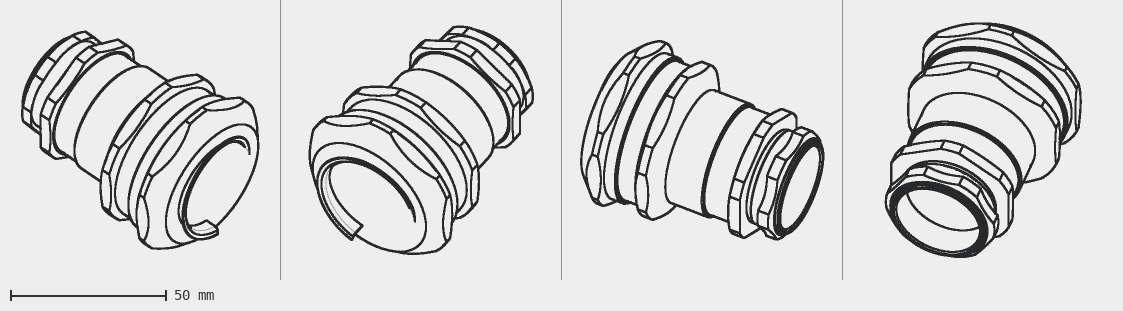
import cadquery as cq
import math


spigot_dia = 32.0
spigot_chamfer = 0.5
bore_dia = 28.5
bore_depth = 10.4
bore_chamfer = 0.6

groove_start = 10.1
groove_depth = 0.6
seal_section_dia = 1.7

locknut_flats = 35.0
locknut_dia = 37.0
locknut_start = 1.4
locknut_front_dia = 33.1
locknut_rim_start = 2.55
locknut_end = 6.35
locknut_dish_angle = 40.0
locknut_turn = 31.4

entry_hex_flats = 40.0
entry_hex_dia = 43.0
entry_hex_start = 11.95
entry_hex_rim_end = 15.7
entry_hex_end = 16.5
entry_hex_end_dia = 38.2

neck_dia = 37.0
barrel_dia = 38.8
barrel_start = 25.5
barrel_chamfer = 0.5
barrel_end = 39.1

cone_angle = 30.0
middle_hex_flats = 50.0
middle_hex_dia = 53.0
middle_hex_end = 47.65
collar_dia = 47.8
ring_dia = 50.0
ring_start = 54.0
ring_chamfer = 0.4

cap_flats = 52.0
cap_dia = 56.0
cap_start = 58.3
cap_rim_end = 62.1
cap_end = 68.0

overall_length = 73.44
ferrule_dia = 32.0
ferrule_wall = 0.5
lip_dia = 35.8
lip_edge_dia = 35.5
lip_edge = 0.4
flare_length = 1.65
flare_radius = 0.9
flare_angle = 65.0
ferrule_depth = 6.0
helix_pitch = 7.5
helix_sweep = 270.0
helix_end_turn = -10.2


def turned(points):
    """Solid of revolution about X from (x, radius) points of its outer profile."""
    closed = [(points[0][0], 0)] + points + [(points[-1][0], 0)]
    return cq.Workplane("XY").polyline(closed).close().revolve(360, (0, 0, 0), (1, 0, 0))


def hexagon(points, flats, turn=0.0):
    """Turned profile trimmed by a hexagonal prism with two flats square to Y."""
    start = points[0][0]
    length = max(x for x, _ in points) - start
    corner_dia = flats / math.cos(math.pi / 6)
    prism = (
        cq.Workplane("YZ", origin=(start, 0, 0))
        .transformed(rotate=(0, 0, 90 + turn))
        .polygon(6, corner_dia)
        .extrude(length)
    )
    return turned(points).intersect(prism)


def cone_length(small_dia, large_dia):
    """Axial length of the standard cone between two diameters."""
    return (large_dia - small_dia) / 2 * math.tan(math.radians(cone_angle))


def make_body():
    spigot_r = spigot_dia / 2
    groove_r = spigot_r - groove_depth
    neck_r = neck_dia / 2
    barrel_r = barrel_dia / 2
    collar_r = collar_dia / 2
    ring_r = ring_dia / 2
    return turned([
        (0, spigot_r - spigot_chamfer),
        (spigot_chamfer, spigot_r),
        (groove_start, spigot_r),
        (groove_start, groove_r),
        (entry_hex_start, groove_r),
        (entry_hex_start, neck_r),
        (barrel_start, neck_r),
        (barrel_start, barrel_r - barrel_chamfer),
        (barrel_start + barrel_chamfer, barrel_r),
        (middle_hex_end, barrel_r),
        (middle_hex_end, collar_r),
        (ring_start, collar_r),
        (ring_start, ring_r - ring_chamfer),
        (ring_start + ring_chamfer, ring_r),
        (cap_start, ring_r),
    ])


def make_seal():
    section_r = seal_section_dia / 2
    section = cq.Workplane("XY").center(entry_hex_start - section_r, spigot_dia / 2 - section_r)
    axis_point = (0, section_r - spigot_dia / 2, 0)
    return section.circle(section_r).revolve(360, axis_point, (1, axis_point[1], 0))


def make_locknut():
    rim_r = locknut_dia / 2
    root_r = spigot_dia / 2
    dish_depth = (rim_r - root_r) * math.tan(math.radians(locknut_dish_angle))
    profile = [
        (locknut_start, locknut_front_dia / 2),
        (locknut_rim_start, rim_r),
        (locknut_end, rim_r),
        (locknut_end - dish_depth, root_r),
    ]
    return hexagon(profile, locknut_flats, locknut_turn)


def make_entry_hex():
    rim_r = entry_hex_dia / 2
    profile = [
        (entry_hex_start, rim_r),
        (entry_hex_rim_end, rim_r),
        (entry_hex_end, entry_hex_end_dia / 2),
    ]
    return hexagon(profile, entry_hex_flats)


def make_middle_hex():
    rim_r = middle_hex_dia / 2
    profile = [
        (barrel_end, barrel_dia / 2),
        (barrel_end + cone_length(barrel_dia, middle_hex_dia), rim_r),
        (middle_hex_end - cone_length(collar_dia, middle_hex_dia), rim_r),
        (middle_hex_end, collar_dia / 2),
    ]
    return hexagon(profile, middle_hex_flats)


def make_cap():
    rim_r = cap_dia / 2
    end_r = rim_r - (cap_end - cap_rim_end)
    profile = [
        (cap_start, ring_dia / 2),
        (cap_start + cone_length(ring_dia, cap_dia), rim_r),
        (cap_rim_end, rim_r),
        (cap_end, end_r),
    ]
    return hexagon(profile, cap_flats)


def make_bore():
    bore_r = bore_dia / 2
    return turned([
        (0, bore_r + bore_chamfer),
        (bore_chamfer, bore_r),
        (bore_depth, bore_r),
    ])


def make_ferrule():
    """Helical tube edge, swept about Z and then laid along X."""
    outer_r = ferrule_dia / 2
    inner_r = outer_r - ferrule_wall
    bend_centre_r = outer_r + flare_radius

    def bend_point(radius, angle):
        """Point on a flare bend, as (radius from the axis, height below the lip)."""
        turn = math.radians(angle)
        return (bend_centre_r - radius * math.cos(turn), radius * math.sin(turn) - flare_length)

    inner_bend = flare_radius + ferrule_wall
    rise = helix_pitch * helix_sweep / 360
    helix = cq.Wire.makeHelix(helix_pitch, rise, outer_r)
    ferrule = (
        cq.Workplane("XZ")
        .moveTo(inner_r, -ferrule_depth)
        .lineTo(outer_r, -ferrule_depth)
        .lineTo(outer_r, -flare_length)
        .threePointArc(bend_point(flare_radius, flare_angle / 2), bend_point(flare_radius, flare_angle))
        .lineTo(lip_dia / 2, -lip_edge)
        .lineTo(lip_edge_dia / 2, 0)
        .lineTo(*bend_point(inner_bend, flare_angle))
        .threePointArc(bend_point(inner_bend, flare_angle / 2), bend_point(inner_bend, 0))
        .close()
        .sweep(cq.Workplane(helix), isFrenet=True)
    )
    return (
        ferrule.rotate((0, 0, 0), (0, 1, 0), 90)
        .rotate((0, 0, 0), (1, 0, 0), helix_end_turn - helix_sweep)
        .translate((overall_length - rise, 0, 0))
    )


result = (
    make_body()
    .union(make_seal())
    .union(make_locknut())
    .union(make_entry_hex())
    .union(make_middle_hex())
    .union(make_cap())
    .union(make_ferrule())
    .cut(make_bore())
)